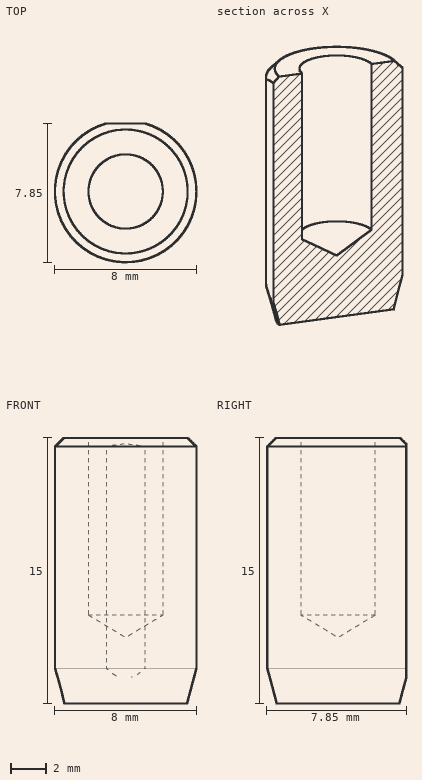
import cadquery as cq
import math

pin_diameter = 8.0
pin_length = 15.0

top_chamfer = 0.5
lead_in_length = 2.0
lead_in_angle = 15.0

flat_depth = 0.15

hole_diameter = 4.2
hole_depth = 10.0
drill_point_angle = 118.0

pin_radius = pin_diameter / 2
hole_radius = hole_diameter / 2


def make_body():
    """Pin turned from a half profile: tapered lead-in below, chamfer above."""
    lead_in_radius = pin_radius - lead_in_length * math.tan(math.radians(lead_in_angle))
    half_profile = (
        cq.Workplane("XZ")
        .lineTo(lead_in_radius, 0)
        .lineTo(pin_radius, lead_in_length)
        .lineTo(pin_radius, pin_length - top_chamfer)
        .lineTo(pin_radius - top_chamfer, pin_length)
        .lineTo(0, pin_length)
        .close()
    )
    return half_profile.revolve(360, (0, 0), (0, 1))


def make_hole():
    """Blind hole volume ending in a conical drill point."""
    hole_floor = pin_length - hole_depth
    point_height = hole_radius / math.tan(math.radians(drill_point_angle / 2))
    half_profile = (
        cq.Workplane("XZ")
        .moveTo(0, hole_floor - point_height)
        .lineTo(hole_radius, hole_floor)
        .lineTo(hole_radius, pin_length)
        .lineTo(0, pin_length)
        .close()
    )
    return half_profile.revolve(360, (0, 0), (0, 1))


def make_flat_cut():
    """Full-length slab of material beyond the flat on the +Y side."""
    flat_y = pin_radius - flat_depth
    return (
        cq.Workplane("XY")
        .center(0, flat_y)
        .box(pin_diameter, pin_radius, pin_length, centered=(True, False, False))
    )


result = make_body().cut(make_hole()).cut(make_flat_cut())